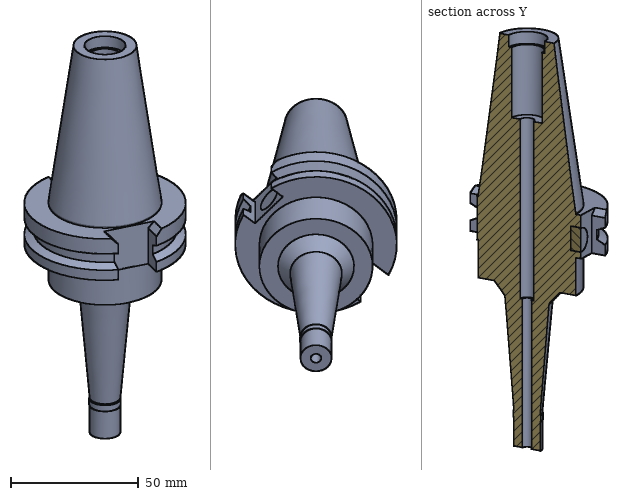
import cadquery as cq

TOTAL_HEIGHT = 169.8

TIP_RADIUS = 6.1
TIP_LENGTH = 12.0
COLLAR_RADIUS = 6.3
COLLAR_TOP = 14.8
NECK_BOTTOM = 15.3
NECK_TOP_RADIUS = 10.2
NECK_TOP = 61.7
FLARE_RADIUS = 15.0

BODY_RADIUS = 22.3
BODY_BOTTOM = 67.0

FLANGE_RADIUS = 31.8
FLANGE_BOTTOM = 82.5
FLANGE_TOP = 100.7
GROOVE_FLOOR_RADIUS = 28.2
GROOVE_BOTTOM = 87.0
GROOVE_TOP = 94.1
GROOVE_FLOOR_BOTTOM = 88.7
GROOVE_FLOOR_TOP = 92.5

TAPER_BOTTOM = 101.4
TAPER_TOP_RADIUS = 12.4

SLOT_WIDTH = 16.5
SLOT_CHAMFER = 2.5
SHALLOW_SLOT_FLOOR = 24.6
DEEP_SLOT_FLOOR = 22.8

MOUTH_DIAMETER = 16.1
MOUTH_DEPTH = 5.0
DRAWBAR_DIAMETER = 13.6
DRAWBAR_DEPTH = 34.0
UPPER_BORE_DIAMETER = 6.0
UPPER_BORE_BOTTOM = NECK_TOP
LOWER_BORE_DIAMETER = 4.0

CHIP_DIAMETER = 9.9
CHIP_DEPTH = 4.6
CHIP_HEIGHT = 90.4


def make_blank():
    """Revolve the outer profile of the holder about Z."""
    profile = [
        (0, 0),
        (TIP_RADIUS, 0),
        (TIP_RADIUS, TIP_LENGTH),
        (COLLAR_RADIUS, TIP_LENGTH),
        (COLLAR_RADIUS, COLLAR_TOP),
        (TIP_RADIUS, NECK_BOTTOM),
        (NECK_TOP_RADIUS, NECK_TOP),
        (FLARE_RADIUS, BODY_BOTTOM),
        (BODY_RADIUS, BODY_BOTTOM),
        (BODY_RADIUS, FLANGE_BOTTOM),
        (FLANGE_RADIUS, FLANGE_BOTTOM),
        (FLANGE_RADIUS, GROOVE_BOTTOM),
        (GROOVE_FLOOR_RADIUS, GROOVE_FLOOR_BOTTOM),
        (GROOVE_FLOOR_RADIUS, GROOVE_FLOOR_TOP),
        (FLANGE_RADIUS, GROOVE_TOP),
        (FLANGE_RADIUS, FLANGE_TOP),
        (BODY_RADIUS, FLANGE_TOP),
        (BODY_RADIUS, TAPER_BOTTOM),
        (TAPER_TOP_RADIUS, TOTAL_HEIGHT),
        (0, TOTAL_HEIGHT),
    ]
    return cq.Workplane("YZ").polyline(profile).close().revolve(360, (0, 0), (0, 1))


def make_slot_cutter(side, floor):
    """Drive slot with chamfered top edges, opening toward side * X."""
    half_width = SLOT_WIDTH / 2
    mouth_half_width = half_width + SLOT_CHAMFER
    chamfer_bottom = FLANGE_TOP - SLOT_CHAMFER
    section = [
        (-half_width, FLANGE_BOTTOM),
        (half_width, FLANGE_BOTTOM),
        (half_width, chamfer_bottom),
        (mouth_half_width, FLANGE_TOP),
        (-mouth_half_width, FLANGE_TOP),
        (-half_width, chamfer_bottom),
    ]
    return (
        cq.Workplane("YZ", origin=(side * floor, 0, 0))
        .polyline(section)
        .close()
        .extrude(side * FLANGE_RADIUS)
    )


def make_bore(diameter, bottom):
    """Axial cylinder from the given height up to the shank end."""
    return cq.Workplane("XY").workplane(offset=bottom).circle(diameter / 2).extrude(TOTAL_HEIGHT - bottom)


def make_chip():
    """Round data chip, its outer face level with the shallow slot floor."""
    return (
        cq.Workplane("YZ", origin=(-SHALLOW_SLOT_FLOOR, 0, CHIP_HEIGHT))
        .circle(CHIP_DIAMETER / 2)
        .extrude(CHIP_DEPTH)
    )


def make_holder(chip):
    """Tool holder with its slots, stepped bore and chip pocket."""
    body = make_blank()
    body = body.cut(make_slot_cutter(-1, SHALLOW_SLOT_FLOOR))
    body = body.cut(make_slot_cutter(1, DEEP_SLOT_FLOOR))
    bores = [
        (MOUTH_DIAMETER, TOTAL_HEIGHT - MOUTH_DEPTH),
        (DRAWBAR_DIAMETER, TOTAL_HEIGHT - DRAWBAR_DEPTH),
        (UPPER_BORE_DIAMETER, UPPER_BORE_BOTTOM),
        (LOWER_BORE_DIAMETER, 0),
    ]
    for diameter, bottom in bores:
        body = body.cut(make_bore(diameter, bottom))
    return body.cut(chip)


chip = make_chip()
holder = make_holder(chip)
result = cq.Compound.makeCompound([holder.val(), chip.val()])